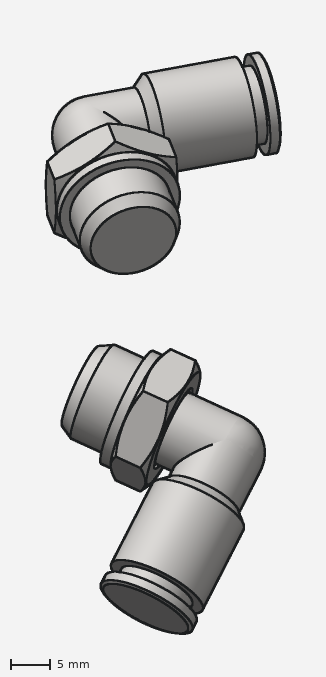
import cadquery as cq
import math


elbow_radius = 5.0

socket_radius = 6.5
taper_start = 6.5
taper_end = taper_start + (socket_radius - elbow_radius)
groove_start = 20.0
collar_start = 21.75
collar_rim = 23.0
socket_end = 23.25
groove_radius = 5.05
collar_face_radius = 6.0

hex_across_flats = 16.0
hex_across_corners = hex_across_flats / math.cos(math.radians(30))
hex_start = 7.35
hex_length = 5.05
hex_end = hex_start + hex_length
hex_face_radius = 7.87
hex_chamfer_angle = 30.0
recess_radius = 5.6
recess_depth = 1.0
root_start = 7.45
root_radius = 5.5

flange_radius = 7.9
flange_end = 13.85
thread_radius = 6.58
thread_end_radius = 5.62
thread_chamfer_start = 18.65
thread_end = 20.4


def make_elbow():
    """Two equal cylinders joined by a ball at the outside of the bend."""
    ball = cq.Workplane("XY").sphere(elbow_radius)
    socket_leg = cq.Workplane("XZ").circle(elbow_radius).extrude(-taper_start)
    thread_leg = cq.Workplane("YZ").circle(elbow_radius).extrude(hex_end)
    return ball.union(socket_leg).union(thread_leg)


def make_socket():
    """Turned socket with a taper, a release groove and a bevelled collar."""
    profile = [
        (0, taper_start),
        (elbow_radius, taper_start),
        (socket_radius, taper_end),
        (socket_radius, groove_start),
        (groove_radius, groove_start),
        (groove_radius, collar_start),
        (socket_radius, collar_start),
        (socket_radius, collar_rim),
        (collar_face_radius, socket_end),
        (0, socket_end),
    ]
    return cq.Workplane("XY").polyline(profile).close().revolve(360, (0, 0), (0, 1))


def make_hexagon():
    """Hexagon with corners at +Z and -Z, both faces chamfered, recessed around the elbow leg."""
    corner_radius = hex_across_corners / 2
    chamfer_length = (corner_radius - hex_face_radius) * math.tan(math.radians(hex_chamfer_angle))
    prism = (
        cq.Workplane("YZ", origin=(hex_start, 0, 0))
        .transformed(rotate=(0, 0, 90))
        .polygon(6, hex_across_corners)
        .extrude(hex_length)
    )
    envelope_profile = [
        (hex_start, 0),
        (hex_start, hex_face_radius),
        (hex_start + chamfer_length, corner_radius),
        (hex_end - chamfer_length, corner_radius),
        (hex_end, hex_face_radius),
        (hex_end, 0),
    ]
    envelope = cq.Workplane("XY").polyline(envelope_profile).close().revolve(360, (0, 0), (1, 0))
    recess = cq.Workplane("YZ", origin=(hex_start, 0, 0)).circle(recess_radius).extrude(recess_depth)
    return prism.intersect(envelope).cut(recess)


def make_leg_root():
    """Root of the elbow leg, widened by a 45 degree cone inside the recess of the hexagon."""
    cone_end = root_start + (root_radius - elbow_radius)
    recess_floor = hex_start + recess_depth
    profile = [
        (root_start, 0),
        (root_start, elbow_radius),
        (cone_end, root_radius),
        (recess_floor, root_radius),
        (recess_floor, 0),
    ]
    return cq.Workplane("XY").polyline(profile).close().revolve(360, (0, 0), (1, 0))


def make_threaded_end():
    """Washer flange followed by the plain thread cylinder with its lead-in chamfer."""
    profile = [
        (hex_end, 0),
        (hex_end, flange_radius),
        (flange_end, flange_radius),
        (flange_end, thread_radius),
        (thread_chamfer_start, thread_radius),
        (thread_end, thread_end_radius),
        (thread_end, 0),
    ]
    return cq.Workplane("XY").polyline(profile).close().revolve(360, (0, 0), (1, 0))


result = (
    make_elbow()
    .union(make_socket())
    .union(make_hexagon())
    .union(make_leg_root())
    .union(make_threaded_end())
)